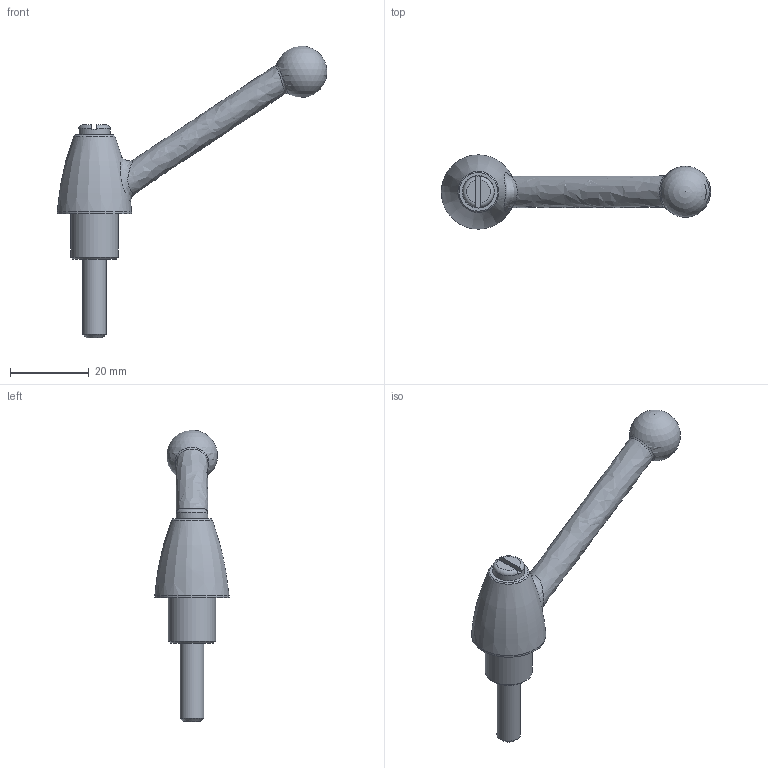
import cadquery as cq
import math


stud_diameter = 6.0
stud_length = 20.0
stud_chamfer = 0.9

sleeve_diameter = 12.0
sleeve_length = 11.5
sleeve_chamfer = 0.5

hub_base_radius = 9.42
hub_top_radius = 5.2
hub_height = 20.0
rim_height = 0.5
dome_mid_radius = 7.16
dome_mid_height = 13.6
hub_top_chamfer = 0.3
hub_bore_diameter = 8.2
hub_bore_depth = 2.0

screw_diameter = 8.0
screw_projection = 2.5
screw_fillet = 1.0
slot_width = 1.2
slot_depth = 1.1

arm_width = 8.0
arm_thickness = 7.4
arm_angle = 33.6
arm_axis_height = 2.7
arm_start_x = 4.0
hub_fillet = 2.0

knob_radius = 6.5
knob_fillet = 0.8
overall_height = 74.0
overall_length = 68.38

hub_base_z = sleeve_length
hub_top_z = hub_base_z + hub_height
screw_top_z = hub_top_z + screw_projection
knob_x = overall_length - hub_base_radius - knob_radius
knob_z = overall_height - stud_length - knob_radius
arm_tilt = math.radians(arm_angle)
arm_start_z = hub_base_z + arm_axis_height + arm_start_x * math.tan(arm_tilt)
arm_length = (knob_x - arm_start_x) / math.cos(arm_tilt)


def make_hub():
    """Solid domed hub turned around Z, its seam on the side away from the arm."""
    outline = (
        cq.Workplane("XZ")
        .moveTo(0, hub_base_z)
        .lineTo(-hub_base_radius, hub_base_z)
        .lineTo(-hub_base_radius, hub_base_z + rim_height)
        .threePointArc(
            (-dome_mid_radius, hub_base_z + dome_mid_height),
            (-hub_top_radius, hub_top_z - hub_top_chamfer),
        )
        .lineTo(hub_top_chamfer - hub_top_radius, hub_top_z)
        .lineTo(0, hub_top_z)
        .close()
    )
    return outline.revolve(360, (0, 0, 0), (0, 1, 0))


def make_arm():
    """Straight elliptical bar from inside the hub to a point just above the knob centre."""
    section = cq.Plane(
        origin=(arm_start_x, 0, arm_start_z),
        xDir=(0, 1, 0),
        normal=(math.cos(arm_tilt), 0, math.sin(arm_tilt)),
    )
    return cq.Workplane(section).ellipse(arm_width / 2, arm_thickness / 2).extrude(arm_length)


def make_knob():
    """Ball at the far end of the arm."""
    return cq.Workplane("XY").sphere(knob_radius).translate((knob_x, 0, knob_z))


def blend_arm_end(body, x_min, x_max, radius):
    """Fillet the seam whose edges have their centres above the rim and within an X range."""
    box = cq.selectors.BoxSelector(
        (x_min, -arm_width, hub_base_z + rim_height),
        (x_max, arm_width, knob_z + knob_radius),
    )
    return body.edges(box).fillet(radius)


def make_lever():
    """Hub, arm and knob, blended where they meet."""
    body = make_hub().union(make_arm())
    body = blend_arm_end(body, arm_start_x, hub_base_radius, hub_fillet)
    body = body.union(make_knob())
    return blend_arm_end(body, knob_x - knob_radius, knob_x, knob_fillet)


def make_sleeve_and_stud():
    """Chamfered sleeve under the hub with the stud below it."""
    sleeve = (
        cq.Workplane("XY")
        .circle(sleeve_diameter / 2)
        .extrude(sleeve_length)
        .faces("<Z")
        .edges()
        .chamfer(sleeve_chamfer)
    )
    stud = (
        cq.Workplane("XY")
        .circle(stud_diameter / 2)
        .extrude(-stud_length)
        .faces("<Z")
        .edges()
        .chamfer(stud_chamfer)
    )
    return sleeve.union(stud)


def make_screw():
    """Slotted head; the slot runs along Y."""
    head_bottom_z = hub_top_z - hub_bore_depth
    head = (
        cq.Workplane("XY", origin=(0, 0, head_bottom_z))
        .circle(screw_diameter / 2)
        .extrude(screw_top_z - head_bottom_z)
        .faces(">Z")
        .edges()
        .fillet(screw_fillet)
    )
    slot = (
        cq.Workplane("XY", origin=(0, 0, screw_top_z))
        .rect(slot_width, screw_diameter)
        .extrude(-slot_depth)
    )
    return head.cut(slot)


def make_bore():
    """Bore that leaves a narrow ring gap around the screw head."""
    return (
        cq.Workplane("XY", origin=(0, 0, hub_top_z))
        .circle(hub_bore_diameter / 2)
        .extrude(-hub_bore_depth)
    )


lever = make_lever()
result = lever.cut(make_bore()).union(make_sleeve_and_stud()).union(make_screw())